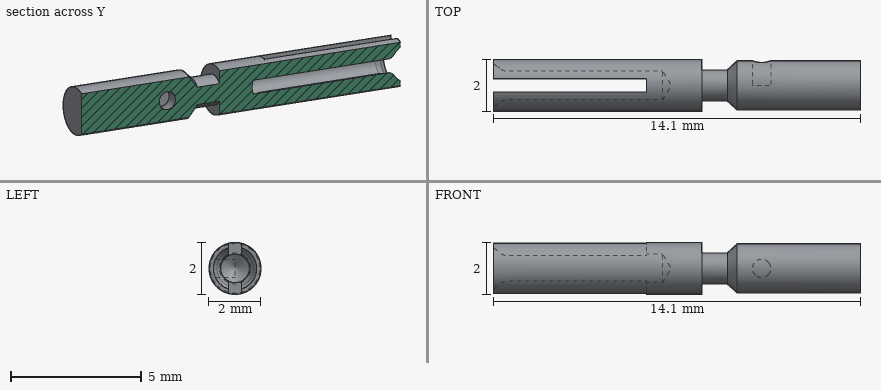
import cadquery as cq
import math

TOTAL_LENGTH = 14.1
SOCKET_LENGTH = 8.0
NECK_LENGTH = 0.98
SHOULDER_LENGTH = 0.38

SOCKET_RADIUS = 1.0
NECK_RADIUS = 0.6
BARREL_RADIUS = 0.95

MOUTH_RADIUS = 0.83
LEAD_IN_RADIUS = 0.70
BORE_RADIUS = 0.55
LEAD_IN_DEPTH = 0.2
BORE_START = 0.52
BORE_DEPTH = 6.5
DRILL_POINT_ANGLE = 118.0

SLOT_WIDTH = 0.5
SLOT_LENGTH = 5.875

SIDE_HOLE_RADIUS = 0.35
SIDE_HOLE_X = 10.3

MOUTH_X = -TOTAL_LENGTH / 2


def revolve_about_axis(outline):
    """Revolve a closed outline drawn in (X, Y) a full turn about the X axis."""
    return outline.revolve(360, (0, 0, 0), (1, 0, 0))


def contact_body():
    neck_end = SOCKET_LENGTH + NECK_LENGTH
    shoulder_end = neck_end + SHOULDER_LENGTH
    outline = cq.Workplane("XY").polyline([
        (0, 0),
        (0, -SOCKET_RADIUS),
        (SOCKET_LENGTH, -SOCKET_RADIUS),
        (SOCKET_LENGTH, -NECK_RADIUS),
        (neck_end, -NECK_RADIUS),
        (shoulder_end, -BARREL_RADIUS),
        (TOTAL_LENGTH, -BARREL_RADIUS),
        (TOTAL_LENGTH, 0),
    ]).close()
    return revolve_about_axis(outline)


def socket_bore():
    point_length = BORE_RADIUS / math.tan(math.radians(DRILL_POINT_ANGLE / 2))
    outline = (
        cq.Workplane("XY")
        .moveTo(BORE_DEPTH + point_length, 0)
        .lineTo(BORE_DEPTH, -BORE_RADIUS)
        .lineTo(BORE_START, -BORE_RADIUS)
        .tangentArcPoint((LEAD_IN_DEPTH, -LEAD_IN_RADIUS), relative=False)
        .lineTo(0, -MOUTH_RADIUS)
        .lineTo(0, 0)
        .close()
    )
    return revolve_about_axis(outline)


def tine_slot():
    slot = cq.Workplane("XY").box(SLOT_LENGTH, SLOT_WIDTH, 2 * SOCKET_RADIUS)
    return slot.translate((SLOT_LENGTH / 2, 0, 0))


def side_hole():
    hole = cq.Workplane("XZ").circle(SIDE_HOLE_RADIUS).extrude(-BARREL_RADIUS)
    return hole.translate((SIDE_HOLE_X, 0, 0))


contact = contact_body().cut(socket_bore()).cut(tine_slot()).cut(side_hole())
result = contact.translate((MOUTH_X, 0, 0))